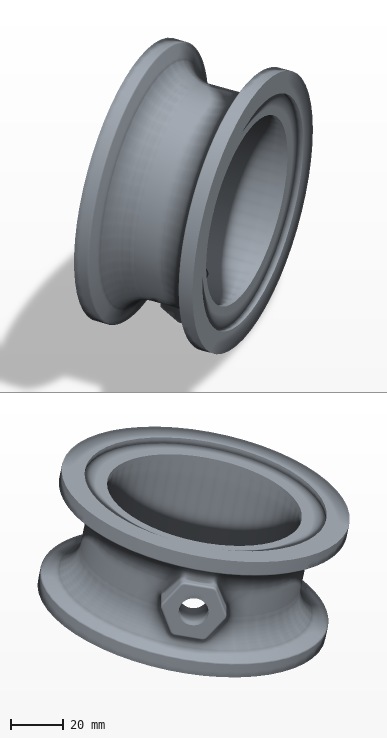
import cadquery as cq
import math

ring_width = 50.0
ring_diameter = 112.8
bore_diameter = 76.2

flange_thickness = 6.0
flange_edge_radius = 0.8

land_width = 11.5
land_diameter = 86.4
flank_radius = 13.0
flank_end_from_face = 8.0

recess_diameter = 94.7
recess_depth = 2.5

boss_across_flats = 22.8
boss_corner_radius = 2.5
boss_base_fillet = 2.5
boss_end_fillet = 0.8
boss_end_z = -53.3
boss_root_embed = 1.7
port_diameter = 11.5

boss_joint_depth = 46.2
selection_margin = 0.1

half_width = ring_width / 2
outer_radius = ring_diameter / 2
bore_radius = bore_diameter / 2
land_radius = land_diameter / 2
boss_half_flats = boss_across_flats / 2
boss_across_corners = boss_across_flats / math.cos(math.pi / 6)
boss_start_z = -(bore_radius + boss_root_embed)


def flank_point(angle):
    """Point (x, radius) on the flank arc, turned by angle away from the land."""
    x = land_width / 2 + flank_radius * math.sin(angle)
    radius = land_radius + flank_radius * (1 - math.cos(angle))
    return x, radius


def waist_ring():
    """Solid spool, still without the bore: one revolved half and its mirror image."""
    flange_inner_x = half_width - flange_thickness
    flank_length = half_width - flank_end_from_face - land_width / 2
    sweep = math.asin(flank_length / flank_radius)

    half_section = (
        cq.Workplane("XY")
        .lineTo(half_width, 0)
        .lineTo(half_width, outer_radius)
        .lineTo(flange_inner_x, outer_radius)
        .lineTo(*flank_point(sweep))
        .threePointArc(flank_point(sweep / 2), flank_point(0))
        .lineTo(0, land_radius)
        .close()
    )
    half_spool = half_section.revolve(360, (0, 0, 0), (1, 0, 0))

    inner_rim = cq.selectors.BoxSelector(
        (flange_inner_x - selection_margin, -outer_radius, -outer_radius),
        (flange_inner_x + selection_margin, outer_radius, outer_radius),
    )
    half_spool = half_spool.edges(inner_rim).fillet(flange_edge_radius)
    return half_spool.union(half_spool.mirror("YZ"))


def port_boss():
    """Hexagonal prism with two flats square to X, rounded corners and a rounded end."""
    return (
        cq.Workplane("XY", origin=(0, 0, boss_end_z))
        .transformed(rotate=(0, 0, 90))
        .polygon(6, boss_across_corners)
        .extrude(boss_start_z - boss_end_z)
        .edges("|Z")
        .fillet(boss_corner_radius)
        .faces("<Z")
        .edges()
        .fillet(boss_end_fillet)
    )


def blend_boss(body):
    """Fillet every edge where the boss meets the waist."""
    joint = cq.selectors.BoxSelector(
        (-boss_half_flats - selection_margin, -boss_across_corners / 2, -boss_joint_depth),
        (boss_half_flats + selection_margin, boss_across_corners / 2, boss_start_z),
    )
    return body.edges(joint).fillet(boss_base_fillet)


def x_cylinder(diameter, start_x, length):
    """Cylinder on the X axis, running toward +X from start_x."""
    return cq.Workplane("YZ", origin=(start_x, 0, 0)).circle(diameter / 2).extrude(length)


body = blend_boss(waist_ring().union(port_boss()))

body = body.cut(x_cylinder(bore_diameter, -half_width, ring_width))

for recess_start_x in (-half_width, half_width - recess_depth):
    body = body.cut(x_cylinder(recess_diameter, recess_start_x, recess_depth))

port = cq.Workplane("XY", origin=(0, 0, boss_end_z)).circle(port_diameter / 2).extrude(-boss_end_z)
result = body.cut(port)